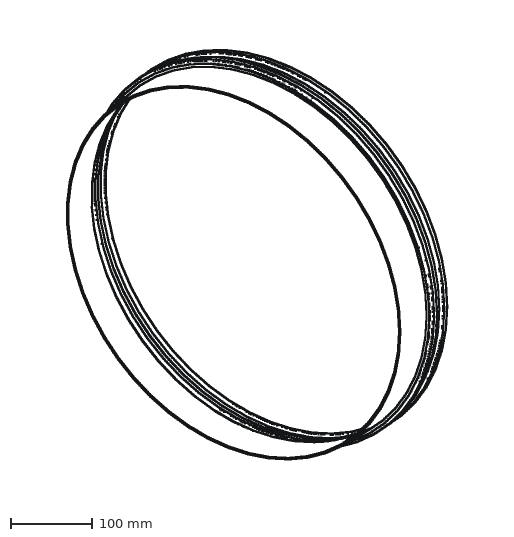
import cadquery as cq

outer_diameter = 526.5
ring_length = 89.0
wall = 2.0

bead_height = 4.0
bead_slope_length = 5.0
bead_flat_length = 6.5
groove_length = 6.0
bead_count = 2

spigot_root_diameter = 510.0
spigot_tip_diameter = 504.5

back = ring_length / 2
front = -ring_length / 2
bead_length = 2 * bead_slope_length + bead_flat_length
bead_pitch = bead_length + groove_length
collar_length = bead_count * bead_length + (bead_count - 1) * groove_length
shoulder = back - collar_length
crest_radius = outer_diameter / 2
groove_radius = crest_radius - bead_height


def beads(offset):
    """Points of the beaded wall, from back to front, set inward by offset."""
    points = []
    for i in range(bead_count):
        start = back - i * bead_pitch
        crest_start = start - bead_slope_length
        crest_end = crest_start - bead_flat_length
        points += [
            (groove_radius - offset, start),
            (crest_radius - offset, crest_start),
            (crest_radius - offset, crest_end),
            (groove_radius - offset, crest_end - bead_slope_length),
        ]
    return points


def wall_profile():
    """Closed half-section of the wall: radius along X, length along Y."""
    root_radius = spigot_root_diameter / 2
    tip_radius = spigot_tip_diameter / 2
    inner_shoulder = shoulder + wall
    outside = beads(0) + [(root_radius, shoulder), (tip_radius, front)]

    inner_beads = beads(wall)[:-1]
    slope_run = bead_slope_length - wall
    cut_radius = crest_radius - wall - bead_height * slope_run / bead_slope_length
    inside = inner_beads + [
        (cut_radius, inner_shoulder),
        (root_radius - wall, inner_shoulder),
        (tip_radius - wall, front),
    ]
    return cq.Workplane("XY").polyline(outside + inside[::-1]).close()


result = wall_profile().revolve(360, (0, 0, 0), (0, 1, 0))